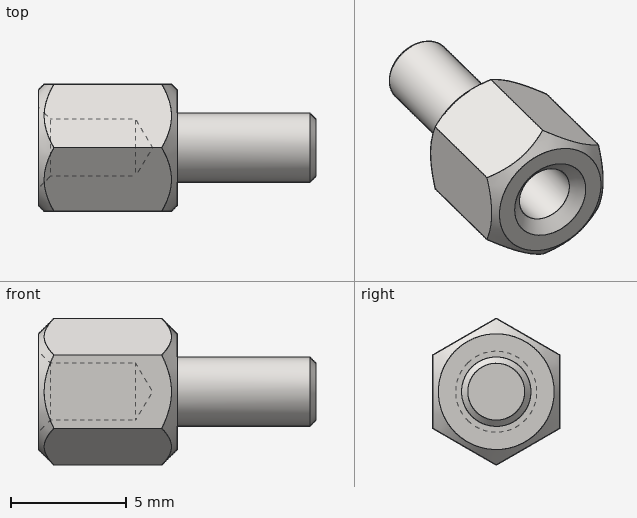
import cadquery as cq
import math

body_length = 6.0
stud_length = 6.0
across_flats = 5.5
across_corners = across_flats / math.cos(math.radians(30))
face_diameter = 5.0

stud_diameter = 3.0
core_diameter = 2.46
stud_chamfer = (stud_diameter - core_diameter) / 2

bore_depth = 4.2
drill_point_angle = 118.0
countersink_diameter = 3.5
countersink_angle = 90.0


def revolve_about_x(points):
    """Solid of revolution from (x, radius) points, turned about the X axis."""
    return cq.Workplane("XY").polyline(points).close().revolve(360, (0, 0, 0), (1, 0, 0))


def hex_body():
    """Hexagonal prism, corners up and down, with turned chamfers on both ends."""
    prism = (
        cq.Workplane("YZ")
        .polygon(6, across_corners)
        .extrude(body_length)
        .rotate((0, 0, 0), (1, 0, 0), 90)
    )
    face_radius = face_diameter / 2
    corner_radius = across_corners / 2
    chamfer = corner_radius - face_radius
    envelope = revolve_about_x([
        (0, 0),
        (0, face_radius),
        (chamfer, corner_radius),
        (body_length - chamfer, corner_radius),
        (body_length, face_radius),
        (body_length, 0),
    ])
    return prism.intersect(envelope)


def stud():
    """Plain cylinder with a chamfered tip."""
    return (
        cq.Workplane("YZ", origin=(body_length, 0, 0))
        .circle(stud_diameter / 2)
        .extrude(stud_length)
        .faces(">X")
        .chamfer(stud_chamfer)
    )


def socket():
    """Countersunk blind bore ending in a drill point."""
    bore_radius = core_diameter / 2
    rim_radius = countersink_diameter / 2
    countersink_depth = (rim_radius - bore_radius) / math.tan(math.radians(countersink_angle / 2))
    point_depth = bore_radius / math.tan(math.radians(drill_point_angle / 2))
    return revolve_about_x([
        (0, 0),
        (0, rim_radius),
        (countersink_depth, bore_radius),
        (bore_depth, bore_radius),
        (bore_depth + point_depth, 0),
    ])


centred_start = -(body_length + stud_length) / 2
result = hex_body().union(stud()).cut(socket()).translate((centred_start, 0, 0))